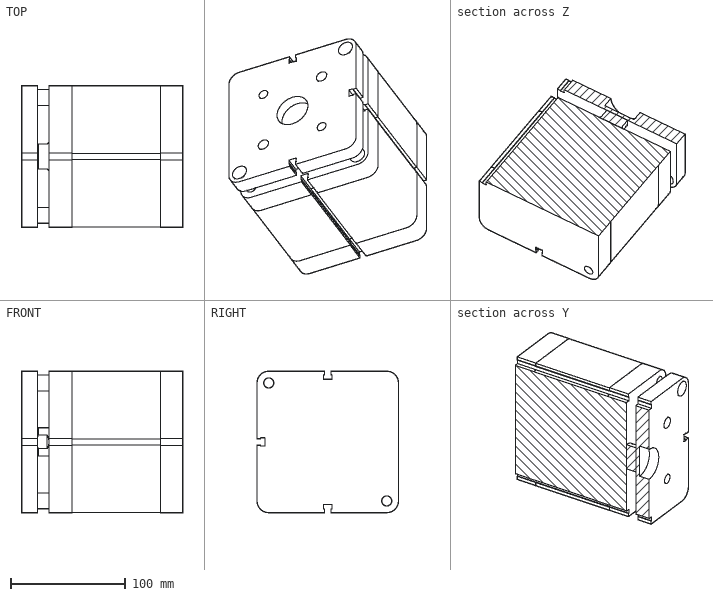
import cadquery as cq

LENGTH = 141.0
SIDE = 124.0
CORNER_RADIUS = 10.3

PLATE_THICKNESS = 14.0
GAP = 9.9
FRONT_CAP_LENGTH = 20.0
END_CAP_LENGTH = 19.7
HOUSING_START = PLATE_THICKNESS + GAP
BARREL_START = HOUSING_START + FRONT_CAP_LENGTH
BARREL_END = LENGTH - END_CAP_LENGTH

BARREL_INSET = 0.07
BARREL_SIDE = SIDE - 2 * BARREL_INSET

CAP_SLOT_OPENING = 5.9
BARREL_SLOT_OPENING = 5.4
SLOT_WIDTH = 7.0
SLOT_LIP = 3.2
SLOT_DEPTH = 7.0
SLOT_ANGLES = (0, 90, 180)

CORNER_OFFSET = 51.6
GUIDE_CORNERS = [(CORNER_OFFSET, CORNER_OFFSET), (-CORNER_OFFSET, -CORNER_OFFSET)]
FASTENING_CORNERS = [(-CORNER_OFFSET, CORNER_OFFSET), (CORNER_OFFSET, -CORNER_OFFSET)]
GUIDE_DIAMETER = 14.1
FASTENING_HOLE_DIAMETER = 8.6
ACCESS_HOLE_DIAMETER = 13.5

PLATE_HOLE_OFFSET = 28.3
THREAD_CORNERS = [(PLATE_HOLE_OFFSET, PLATE_HOLE_OFFSET), (-PLATE_HOLE_OFFSET, -PLATE_HOLE_OFFSET)]
PIN_CORNERS = [(-PLATE_HOLE_OFFSET, PLATE_HOLE_OFFSET), (PLATE_HOLE_OFFSET, -PLATE_HOLE_OFFSET)]
THREAD_HOLE_DIAMETER = 8.5
PIN_HOLE_DIAMETER = 10.0
CENTRE_RECESS_DIAMETER = 30.0
CENTRE_RECESS_DEPTH = 9.9

ROD_DIAMETER = 25.0
ROD_CHAMFER = 0.5
ACROSS_FLATS = 22.0
FLAT_RUNOUT = (ROD_DIAMETER - ACROSS_FLATS) / 2


def plane_at(x):
    """YZ sketch plane at the given X, with its normal along +X."""
    return cq.Workplane("YZ", origin=(x, 0, 0))


def slot_cutter(start, length, side, opening):
    """T-slot cutter that opens through the +Z side of a square block."""
    surface = side / 2
    return (
        plane_at(start)
        .moveTo(-opening / 2, surface)
        .lineTo(-opening / 2, surface - SLOT_LIP)
        .lineTo(-SLOT_WIDTH / 2, surface - SLOT_LIP)
        .lineTo(-SLOT_WIDTH / 2, surface - SLOT_DEPTH)
        .lineTo(SLOT_WIDTH / 2, surface - SLOT_DEPTH)
        .lineTo(SLOT_WIDTH / 2, surface - SLOT_LIP)
        .lineTo(opening / 2, surface - SLOT_LIP)
        .lineTo(opening / 2, surface)
        .close()
        .extrude(length)
    )


def slotted_block(start, length, side, opening):
    """Square block with rounded corners along X and a T-slot in three sides."""
    block = plane_at(start).rect(side, side).extrude(length).edges("|X").fillet(CORNER_RADIUS)
    cutter = slot_cutter(start, length, side, opening)
    for angle in SLOT_ANGLES:
        block = block.cut(cutter.rotate((0, 0, 0), (1, 0, 0), angle))
    return block


def drill(body, start, depth, points, diameter):
    """Round holes along +X from the given X, one at each (Y, Z) point."""
    return body.cut(plane_at(start).pushPoints(points).circle(diameter / 2).extrude(depth))


def make_plate():
    plate = slotted_block(0, PLATE_THICKNESS, SIDE, CAP_SLOT_OPENING)
    plate = drill(plate, 0, PLATE_THICKNESS, FASTENING_CORNERS, ACCESS_HOLE_DIAMETER)
    plate = drill(plate, 0, PLATE_THICKNESS, THREAD_CORNERS, THREAD_HOLE_DIAMETER)
    plate = drill(plate, 0, PLATE_THICKNESS, PIN_CORNERS, PIN_HOLE_DIAMETER)
    return drill(plate, 0, CENTRE_RECESS_DEPTH, [(0, 0)], CENTRE_RECESS_DIAMETER)


def make_housing():
    """Front cap, barrel and end cap in one piece, with two holes right through."""
    front_cap = slotted_block(HOUSING_START, FRONT_CAP_LENGTH, SIDE, CAP_SLOT_OPENING)
    barrel = slotted_block(BARREL_START, BARREL_END - BARREL_START, BARREL_SIDE, BARREL_SLOT_OPENING)
    end_cap = slotted_block(BARREL_END, END_CAP_LENGTH, SIDE, CAP_SLOT_OPENING)
    housing = front_cap.union(barrel).union(end_cap)
    return drill(housing, HOUSING_START, LENGTH - HOUSING_START, FASTENING_CORNERS, FASTENING_HOLE_DIAMETER)


def make_piston_rod():
    """Rod between plate and housing; its flats run out at 45 degrees before the housing."""
    rod = plane_at(PLATE_THICKNESS).circle(ROD_DIAMETER / 2).extrude(GAP)
    rod = rod.faces("<X").chamfer(ROD_CHAMFER)
    flat_end = HOUSING_START - FLAT_RUNOUT
    flat = (
        cq.Workplane("XY")
        .moveTo(PLATE_THICKNESS, ACROSS_FLATS / 2)
        .lineTo(flat_end, ACROSS_FLATS / 2)
        .lineTo(HOUSING_START, ROD_DIAMETER / 2)
        .lineTo(PLATE_THICKNESS, ROD_DIAMETER / 2)
        .close()
        .extrude(ROD_DIAMETER / 2, both=True)
    )
    return rod.cut(flat).cut(flat.mirror("XZ"))


def make_guide_rod(y, z):
    return plane_at(PLATE_THICKNESS).center(y, z).circle(GUIDE_DIAMETER / 2).extrude(GAP)


plate = make_plate()
housing = make_housing()
piston_rod = make_piston_rod()
guide_rods = [make_guide_rod(y, z).val() for y, z in GUIDE_CORNERS]

result = cq.Compound.makeCompound([plate.val(), housing.val(), piston_rod.val(), *guide_rods])